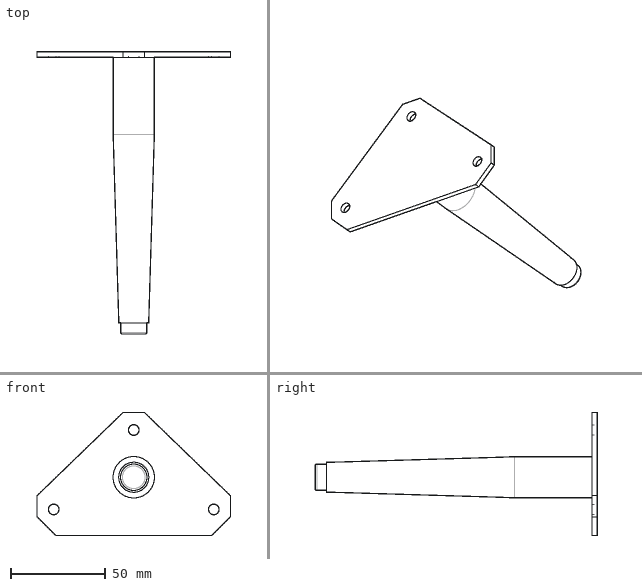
import cadquery as cq

plate_width = 102.8
plate_height = 65.5
plate_thickness = 3.0
top_flat_width = 11.2
side_flat_height = 11.2
bottom_chamfer = 10.0
leg_axis_height = 31.0

hole_diameter = 5.5
upper_hole_height = 25.1
lower_hole_height = -17.1
hole_spread = 85.0

total_length = 150.0
taper_length = 100.0
leg_diameter = 22.0
leg_tip_diameter = 16.0

foot_diameter = 14.0
foot_length = 6.0
foot_edge_radius = 1.0

plate_front = -plate_thickness
leg_tip = foot_length - total_length
taper_start = leg_tip + taper_length


def make_plate():
    """Triangular plate with cut corners and three screw holes."""
    bottom = -leg_axis_height
    top = bottom + plate_height
    half_width = plate_width / 2
    half_top = top_flat_width / 2
    half_bottom = half_width - bottom_chamfer
    side_low = bottom + bottom_chamfer
    side_high = side_low + side_flat_height
    outline = [
        (-half_bottom, bottom),
        (half_bottom, bottom),
        (half_width, side_low),
        (half_width, side_high),
        (half_top, top),
        (-half_top, top),
        (-half_width, side_high),
        (-half_width, side_low),
    ]
    hole_centers = [
        (0, upper_hole_height),
        (-hole_spread / 2, lower_hole_height),
        (hole_spread / 2, lower_hole_height),
    ]
    blank = cq.Workplane("XZ").polyline(outline).close().extrude(plate_thickness)
    holes = (
        cq.Workplane("XZ")
        .pushPoints(hole_centers)
        .circle(hole_diameter / 2)
        .extrude(plate_thickness)
    )
    return blank.cut(holes)


def make_leg():
    """Round leg: straight next to the plate, then tapering to a foot with a rounded edge."""
    shaft = (
        cq.Workplane("XY")
        .moveTo(0, plate_front)
        .lineTo(leg_diameter / 2, plate_front)
        .lineTo(leg_diameter / 2, taper_start)
        .lineTo(leg_tip_diameter / 2, leg_tip)
        .lineTo(0, leg_tip)
        .close()
        .revolve(360, (0, 0, 0), (0, 1, 0))
    )
    foot = (
        cq.Workplane("XZ", origin=(0, leg_tip, 0))
        .circle(foot_diameter / 2)
        .extrude(foot_length)
        .faces("<Y")
        .edges()
        .fillet(foot_edge_radius)
    )
    return shaft.union(foot)


plate = make_plate()
leg = make_leg()

result = cq.Compound.makeCompound([plate.val(), leg.val()])